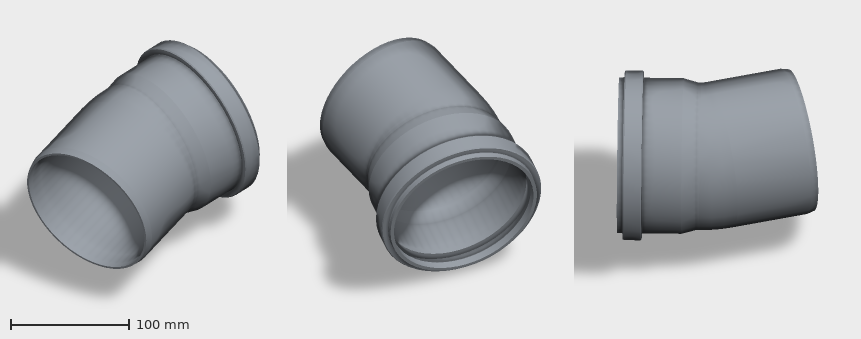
import cadquery as cq
import math


bend_angle = 15.0
bend_radius = 62.8

spigot_diameter = 125.2
bore_diameter = 118.3
spigot_length = 70.8
spigot_tip_diameter = 122.1
spigot_taper_length = 6.3

socket_diameter = 131.9
socket_wall = 3.1
flare_start = 3.1
flare_end = 15.3
collar_diameter = 143.9
collar_start = 49.0
collar_end = 65.0
socket_length = 69.8

edge_bevel_depth = 0.7
edge_bevel_length = 1.0
root_bevel_depth = 0.5
root_bevel_length = 1.4

spigot_radius = spigot_diameter / 2
bore_radius = bore_diameter / 2
spigot_tip_radius = spigot_tip_diameter / 2
socket_radius = socket_diameter / 2
socket_bore_radius = socket_radius - socket_wall
collar_radius = collar_diameter / 2
groove_radius = collar_radius - socket_wall
groove_start = collar_start + socket_wall
groove_end = collar_end - socket_wall

angle = math.radians(bend_angle)
elbow_end_x = bend_radius * (1 - math.cos(angle))
elbow_end_y = spigot_length + bend_radius * math.sin(angle)


def revolve_profile(points):
    """Turn (radius, station) points about the Y axis."""
    return cq.Workplane("XY").polyline(points).close().revolve(360, (0, 0, 0), (0, 1, 0))


def make_elbow(radius):
    """Sweep a disc through the bend, starting at the inner end of the spigot."""
    return (
        cq.Workplane("XZ", origin=(0, spigot_length, 0))
        .circle(radius)
        .revolve(bend_angle, (bend_radius, 1.7, 0), (bend_radius, 0, 0))
    )


def place_socket(body):
    """Move a body from the Y axis onto the inclined socket axis."""
    turned = body.rotate((0, 0, 0), (0, 0, 1), -bend_angle)
    return turned.translate((elbow_end_x, elbow_end_y, 0))


def make_spigot():
    return revolve_profile([
        (0, 0),
        (spigot_tip_radius, 0),
        (spigot_radius, spigot_taper_length),
        (spigot_radius, spigot_length),
        (0, spigot_length),
    ])


def make_socket():
    return revolve_profile([
        (0, 0),
        (spigot_radius, 0),
        (spigot_radius, flare_start),
        (socket_radius, flare_end),
        (socket_radius, collar_start - root_bevel_length),
        (socket_radius + root_bevel_depth, collar_start),
        (collar_radius - edge_bevel_depth, collar_start),
        (collar_radius, collar_start + edge_bevel_length),
        (collar_radius, collar_end - edge_bevel_length),
        (collar_radius - edge_bevel_depth, collar_end),
        (socket_radius + root_bevel_depth, collar_end),
        (socket_radius, collar_end + root_bevel_length),
        (socket_radius, socket_length),
        (0, socket_length),
    ])


def make_spigot_bore():
    return cq.Workplane("XZ").circle(bore_radius).extrude(-spigot_length)


def make_socket_bore():
    """Flared bore with a wide seal groove inside the collar."""
    return revolve_profile([
        (0, 0),
        (bore_radius, 0),
        (bore_radius, flare_start),
        (socket_bore_radius, flare_end),
        (socket_bore_radius, groove_start),
        (groove_radius, groove_start),
        (groove_radius, groove_end),
        (socket_bore_radius + edge_bevel_depth, groove_end),
        (socket_bore_radius, groove_end + edge_bevel_length),
        (socket_bore_radius, socket_length),
        (0, socket_length),
    ])


outside = make_spigot().union(make_elbow(spigot_radius)).union(place_socket(make_socket()))
passage = make_spigot_bore().union(make_elbow(bore_radius)).union(place_socket(make_socket_bore()))
result = outside.cut(passage)